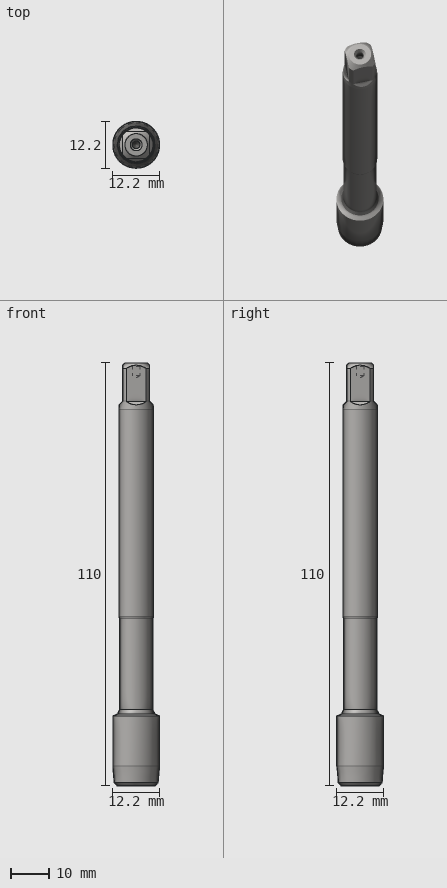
import cadquery as cq
import math

TOTAL_LENGTH = 110.0

HEAD_RADIUS = 12.2 / 2
LEAD_TOP_Z = 5.2
LEAD_BOTTOM_RADIUS = 5.7
TIP_RADIUS = 5.0
TIP_CHAMFER_HEIGHT = 0.9
HEAD_SHOULDER_Z = 18.2
JOINT_Z = 18.7
JOINT_RADIUS = 4.8

NECK_RADIUS = 8.7 / 2
SHANK_RADIUS = 9.0 / 2
NECK_FLARE_TOP_Z = 19.8
STEP_BOTTOM_Z = 43.5
STEP_TOP_Z = 44.0
SHANK_TOP_Z = 97.9

DRIVE_CORNER_RADIUS = NECK_RADIUS
DRIVE_CONE_HEIGHT = 2.2
DRIVE_WIDTH = 7.0
DRIVE_TOP_RADIUS = 5.8 / 2
DRIVE_CHAMFER = DRIVE_CORNER_RADIUS - DRIVE_TOP_RADIUS
FLAT_BOTTOM_Z = 100.0
FLAT_COUNT = 4

HOLE_RADIUS = 2.0 / 2
HOLE_MOUTH_RADIUS = 1.5
HOLE_SINK_HALF_ANGLE = 30
HOLE_TIP_HALF_ANGLE = 59
HOLE_SINK_DEPTH = (HOLE_MOUTH_RADIUS - HOLE_RADIUS) / math.tan(math.radians(HOLE_SINK_HALF_ANGLE))
HOLE_DEPTH = 3.3
HOLE_TIP_DEPTH = HOLE_DEPTH + HOLE_RADIUS / math.tan(math.radians(HOLE_TIP_HALF_ANGLE))


def revolve_profile(points):
    """Revolve a closed outline of (radius, height) points about Z."""
    return cq.Workplane("XZ").polyline(points).close().revolve(360, (0, 0), (0, 1))


def make_head():
    """Cutting head with a tapered lead and a chamfer at each end."""
    return revolve_profile([
        (0, 0),
        (TIP_RADIUS, 0),
        (LEAD_BOTTOM_RADIUS, TIP_CHAMFER_HEIGHT),
        (HEAD_RADIUS, LEAD_TOP_Z),
        (HEAD_RADIUS, HEAD_SHOULDER_Z),
        (JOINT_RADIUS, JOINT_Z),
        (0, JOINT_Z),
    ])


def make_shank_blank():
    """Round shank with its neck, before the flats and the centre hole."""
    return revolve_profile([
        (0, JOINT_Z),
        (JOINT_RADIUS, JOINT_Z),
        (NECK_RADIUS, NECK_FLARE_TOP_Z),
        (NECK_RADIUS, STEP_BOTTOM_Z),
        (SHANK_RADIUS, STEP_TOP_Z),
        (SHANK_RADIUS, SHANK_TOP_Z),
        (DRIVE_CORNER_RADIUS, SHANK_TOP_Z + DRIVE_CONE_HEIGHT),
        (DRIVE_CORNER_RADIUS, TOTAL_LENGTH - DRIVE_CHAMFER),
        (DRIVE_TOP_RADIUS, TOTAL_LENGTH),
        (0, TOTAL_LENGTH),
    ])


def make_flat_cutter():
    """Cutter on the +X side for one flat, sloping outward below the flat."""
    flat_x = DRIVE_WIDTH / 2
    reach = 2 * SHANK_RADIUS
    slope_bottom_z = FLAT_BOTTOM_Z - (reach - flat_x)
    return (
        cq.Workplane("XZ")
        .moveTo(flat_x, TOTAL_LENGTH)
        .lineTo(flat_x, FLAT_BOTTOM_Z)
        .lineTo(reach, slope_bottom_z)
        .lineTo(reach, TOTAL_LENGTH)
        .close()
        .extrude(SHANK_RADIUS, both=True)
    )


def make_centre_hole():
    """Countersunk centre hole with a conical drill tip."""
    return revolve_profile([
        (0, TOTAL_LENGTH),
        (HOLE_MOUTH_RADIUS, TOTAL_LENGTH),
        (HOLE_RADIUS, TOTAL_LENGTH - HOLE_SINK_DEPTH),
        (HOLE_RADIUS, TOTAL_LENGTH - HOLE_DEPTH),
        (0, TOTAL_LENGTH - HOLE_TIP_DEPTH),
    ])


def make_shank():
    """Shank with the square drive and the centre hole."""
    shank = make_shank_blank()
    for index in range(FLAT_COUNT):
        angle = index * 360 / FLAT_COUNT
        shank = shank.cut(make_flat_cutter().rotate((0, 0, 0), (0, 0, 1), angle))
    return shank.cut(make_centre_hole())


head = make_head()
shank = make_shank()
result = cq.Compound.makeCompound([head.val(), *shank.vals()])